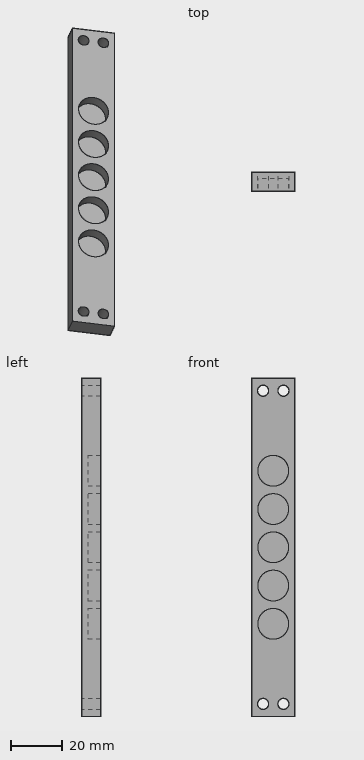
import cadquery as cq

width = 17.0
thickness = 7.5
length = 132.5

pocket_count = 5
pocket_diameter = 12.0
pocket_pitch = 15.0
pocket_depth = 5.0

hole_diameter = 4.2
hole_spacing_x = 8.0
hole_spacing_z = 122.5

bar = cq.Workplane("XY").box(width, thickness, length)


def front_face(body):
    """Workplane on the front (-Y) face: local x along X, local y along Z."""
    return body.faces("<Y").workplane(centerOption="CenterOfBoundBox")


def cut_pockets(body):
    return (
        front_face(body)
        .rarray(1.3, pocket_pitch, 1, pocket_count)
        .hole(pocket_diameter, pocket_depth)
    )


def drill_mounting_holes(body):
    return (
        front_face(body)
        .rarray(hole_spacing_x, hole_spacing_z, 2, 2)
        .hole(hole_diameter)
    )


result = drill_mounting_holes(cut_pockets(bar))